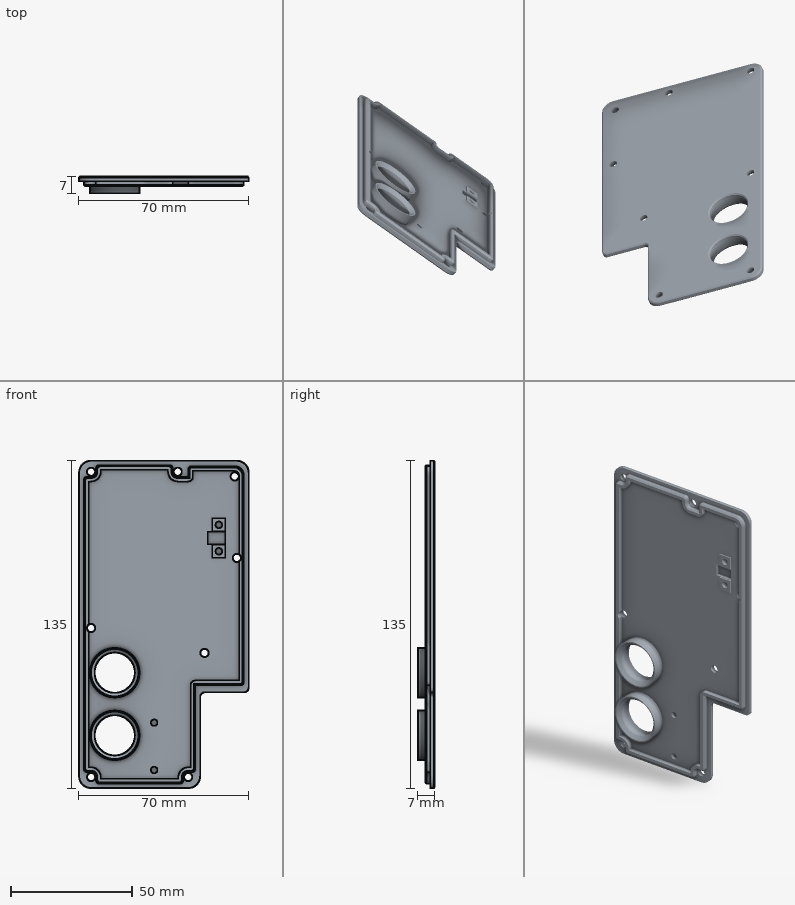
import cadquery as cq


WIDTH = 70.0
HEIGHT = 135.0
LOWER_WIDTH = 50.0
STEP_Z = 39.5
CORNER_RADIUS = 5.0
STEP_OUTER_RADIUS = 2.0
STEP_INNER_RADIUS = 2.0
PLATE_THICKNESS = 2.0
BACK_CHAMFER = 0.5

RIM_INSET_X = 2.0
RIM_INSET_Z = 1.8
RIM_INSET_TOP_RIGHT = 2.25
RIM_INSET_STEP = 2.9
RIM_WIDTH = 2.0
RIM_HEIGHT = 2.0
RIM_CHAMFER = 0.6
RIM_CORNER_RADIUS = 1.5
RIM_TOP_RIGHT_RADIUS = 4.0

SCREW_INSET_X = 5.0
SCREW_INSET_Z = 4.6
SCREW_DIAMETER = 3.3
SCREW_RELIEF_RADIUS = 2.0
MIDDLE_SCREW_X = 40.7
MIDDLE_RELIEF_END_X = 45.0

INNER_SCREWS = [(64.2, 128.5), (65.1, 94.9), (5.0, 66.0), (51.75, 55.75)]

COLLAR_X = 14.75
COLLAR_Z = [21.8, 47.6]
COLLAR_DIAMETER = 20.5
COLLAR_BORE = 16.5
COLLAR_CHAMFER = 1.5
TOTAL_DEPTH = 7.0

PILOT_X = 31.0
PILOT_Z = [7.5, 27.0]
PILOT_DIAMETER = 2.7
BLIND_SKIN = 0.5

PAD_SIZE = 5.5
PAD_HEIGHT = 0.5
PAD_RIGHT_X = 60.4
PAD_HOLE_DIAMETER = 2.75
PAD_SPACING = 10.9
CLAMP_Z = 103.1
POCKET_WIDTH = 7.4
POCKET_HEIGHT = 5.0
POCKET_DEPTH = 1.4


def front_plane(depth):
    """XZ workplane lying `depth` in front of the back face; extrusion goes toward -Y."""
    return cq.Workplane("XZ", origin=(0, -depth, 0))


def drill(body, points, diameter, start, end):
    """Cut round holes between two depths measured from the back face."""
    return body.cut(front_plane(start).pushPoints(points).circle(diameter / 2).extrude(end - start))


def fillet_at(body, x, z, radius):
    """Round the through-thickness edge nearest to the point (x, z)."""
    nearest = cq.selectors.NearestToPointSelector((x, body.val().Center().y, z))
    return body.edges("|Y").edges(nearest).fillet(radius)


def make_plate():
    outline = [
        (0, 0),
        (LOWER_WIDTH, 0),
        (LOWER_WIDTH, STEP_Z),
        (WIDTH, STEP_Z),
        (WIDTH, HEIGHT),
        (0, HEIGHT),
    ]
    plate = front_plane(0).polyline(outline).close().extrude(PLATE_THICKNESS)
    for x, z in [(0, 0), (LOWER_WIDTH, 0), (WIDTH, HEIGHT), (0, HEIGHT)]:
        plate = fillet_at(plate, x, z, CORNER_RADIUS)
    plate = fillet_at(plate, WIDTH, STEP_Z, STEP_OUTER_RADIUS)
    plate = fillet_at(plate, LOWER_WIDTH, STEP_Z, STEP_INNER_RADIUS)
    return plate.faces(">Y").edges().chamfer(BACK_CHAMFER)


def make_rim():
    left = RIM_INSET_X
    right = WIDTH - RIM_INSET_X
    lower_right = LOWER_WIDTH - RIM_INSET_X
    bottom = RIM_INSET_Z
    top = HEIGHT - RIM_INSET_Z
    top_right = HEIGHT - RIM_INSET_TOP_RIGHT
    step = STEP_Z + RIM_INSET_STEP
    relief_x = SCREW_INSET_X + SCREW_RELIEF_RADIUS
    relief_z = SCREW_INSET_Z + SCREW_RELIEF_RADIUS
    relief_top_z = HEIGHT - relief_z
    relief_left_x = MIDDLE_SCREW_X - SCREW_RELIEF_RADIUS
    relief_lower_x = LOWER_WIDTH - relief_x

    convex_corners = [
        (left, relief_z),
        (relief_x, bottom),
        (relief_lower_x, bottom),
        (lower_right, relief_z),
        (right, step),
        (MIDDLE_RELIEF_END_X, top_right),
        (relief_left_x, top),
        (relief_x, top),
        (left, relief_top_z),
    ]
    screw_corners = [
        (relief_x, relief_z),
        (relief_lower_x, relief_z),
        (relief_left_x, relief_top_z),
        (relief_x, relief_top_z),
    ]
    outline = [
        (left, relief_z),
        (relief_x, relief_z),
        (relief_x, bottom),
        (relief_lower_x, bottom),
        (relief_lower_x, relief_z),
        (lower_right, relief_z),
        (lower_right, step),
        (right, step),
        (right, top_right),
        (MIDDLE_RELIEF_END_X, top_right),
        (MIDDLE_RELIEF_END_X, relief_top_z),
        (relief_left_x, relief_top_z),
        (relief_left_x, top),
        (relief_x, top),
        (relief_x, relief_top_z),
        (left, relief_top_z),
    ]
    block = front_plane(PLATE_THICKNESS).polyline(outline).close().extrude(RIM_HEIGHT)
    for x, z in convex_corners:
        block = fillet_at(block, x, z, RIM_CORNER_RADIUS)
    for x, z in screw_corners:
        block = fillet_at(block, x, z, SCREW_RELIEF_RADIUS)
    block = fillet_at(block, right, top_right, RIM_TOP_RIGHT_RADIUS)

    base_outline = block.faces(">Y").wires().toPending()
    inside = base_outline.offset2D(-RIM_WIDTH).extrude(RIM_HEIGHT, combine=False)
    return block.faces("<Y").edges().chamfer(RIM_CHAMFER).cut(inside)


def add_collars(body):
    points = [(COLLAR_X, z) for z in COLLAR_Z]
    height = TOTAL_DEPTH - PLATE_THICKNESS
    collars = front_plane(PLATE_THICKNESS).pushPoints(points).circle(COLLAR_DIAMETER / 2).extrude(height)
    body = drill(body.union(collars), points, COLLAR_BORE, 0, TOTAL_DEPTH)
    smallest = cq.selectors.RadiusNthSelector(0)
    largest = cq.selectors.RadiusNthSelector(-1)
    body = body.faces("<Y").edges(smallest).chamfer(COLLAR_CHAMFER)
    return body.faces(">Y").edges(largest).chamfer(BACK_CHAMFER)


def add_clamp(body):
    pad_x = PAD_RIGHT_X - PAD_SIZE / 2
    points = [(pad_x, CLAMP_Z + side * PAD_SPACING / 2) for side in (-1, 1)]
    floor = PLATE_THICKNESS
    pads = front_plane(floor).pushPoints(points).rect(PAD_SIZE, PAD_SIZE).extrude(PAD_HEIGHT)
    pocket = (
        front_plane(floor - POCKET_DEPTH)
        .center(PAD_RIGHT_X - POCKET_WIDTH / 2, CLAMP_Z)
        .rect(POCKET_WIDTH, POCKET_HEIGHT)
        .extrude(POCKET_DEPTH)
    )
    body = body.union(pads).cut(pocket)
    return drill(body, points, PAD_HOLE_DIAMETER, BLIND_SKIN, floor + PAD_HEIGHT)


def drill_screws(body):
    top = HEIGHT - SCREW_INSET_Z
    rim_screws = [
        (SCREW_INSET_X, SCREW_INSET_Z),
        (LOWER_WIDTH - SCREW_INSET_X, SCREW_INSET_Z),
        (SCREW_INSET_X, top),
        (MIDDLE_SCREW_X, top),
    ]
    return drill(body, rim_screws + INNER_SCREWS, SCREW_DIAMETER, 0, PLATE_THICKNESS + RIM_HEIGHT)


def drill_pilots(body):
    return drill(body, [(PILOT_X, z) for z in PILOT_Z], PILOT_DIAMETER, BLIND_SKIN, PLATE_THICKNESS)


result = make_plate().union(make_rim())
result = add_collars(result)
result = add_clamp(result)
result = drill_screws(result)
result = drill_pilots(result)